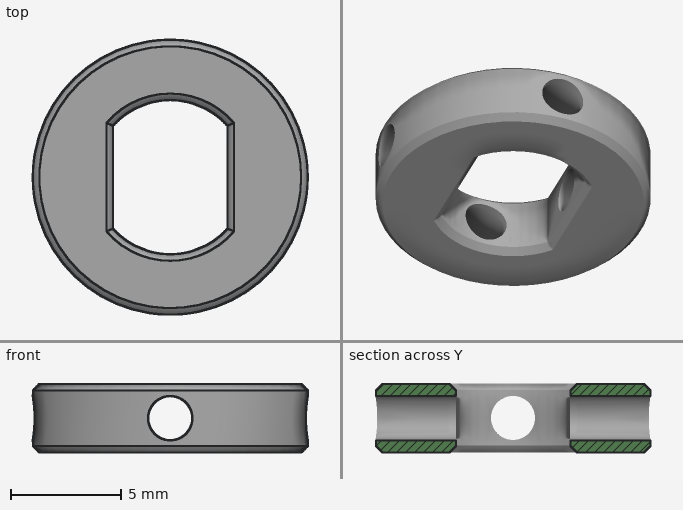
import cadquery as cq

outer_diameter = 12.5
height = 3.125
chamfer = 0.3

bore_diameter = 7.0
bore_width_across_flats = 5.2

radial_hole_diameter = 2.0


def make_ring():
    """Disc centred on the origin with both rims chamfered."""
    base = cq.Workplane("XY").workplane(offset=-height / 2)
    return base.circle(outer_diameter / 2).extrude(height).edges("%CIRCLE").chamfer(chamfer)


def make_bore():
    """Double-D prism through the full height of the ring."""
    base = cq.Workplane("XY").workplane(offset=-height / 2)
    round_bore = base.circle(bore_diameter / 2).extrude(height)
    flats = base.rect(bore_width_across_flats, bore_diameter).extrude(height)
    return round_bore.intersect(flats)


def cut_bore(body):
    """Cut the double-D bore through and chamfer both of its mouths."""
    bored = body.cut(make_bore())
    reach = (bore_diameter + outer_diameter) / 4
    around_bore = cq.selectors.BoxSelector(
        (-reach, -reach, -height),
        (reach, reach, height),
        boundingbox=True,
    )
    return bored.faces("|Z").edges(around_bore).chamfer(chamfer)


def radial_hole(plane):
    """Cylinder through the whole ring, normal to the given plane."""
    return cq.Workplane(plane).circle(radial_hole_diameter / 2).extrude(outer_diameter, both=True)


result = cut_bore(make_ring())
for hole_plane in ("XZ", "YZ"):
    result = result.cut(radial_hole(hole_plane))